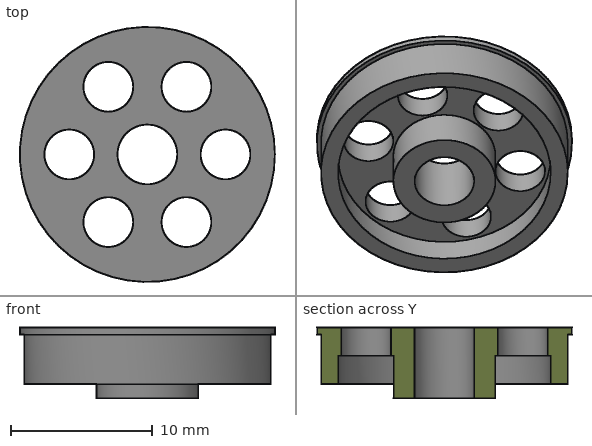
import cadquery as cq

total_height = 5.0
hub_projection = 1.0
flange_thickness = 0.5
plate_thickness = 2.0

flange_diameter = 18.0
body_diameter = 17.4
cavity_diameter = 15.0
hub_diameter = 7.2
bore_diameter = 4.2

hole_count = 6
hole_diameter = 3.5
hole_circle_radius = 5.5


def cylinder(diameter, bottom, top):
    """Solid cylinder on the Z axis between two heights."""
    return cq.Workplane("XY").workplane(offset=bottom).circle(diameter / 2).extrude(top - bottom)


plate_bottom = total_height - plate_thickness
body = cylinder(body_diameter, hub_projection, total_height)
flange = cylinder(flange_diameter, total_height - flange_thickness, total_height)
cavity = cylinder(cavity_diameter, hub_projection, plate_bottom)
cup = body.union(flange).cut(cavity)

hub = cylinder(hub_diameter, 0, total_height)
bore = cylinder(bore_diameter, 0, total_height)

holes = (
    cq.Workplane("XY")
    .workplane(offset=plate_bottom)
    .polarArray(hole_circle_radius, 0, 360, hole_count)
    .circle(hole_diameter / 2)
    .extrude(plate_thickness)
)

result = cup.union(hub).cut(bore).cut(holes)